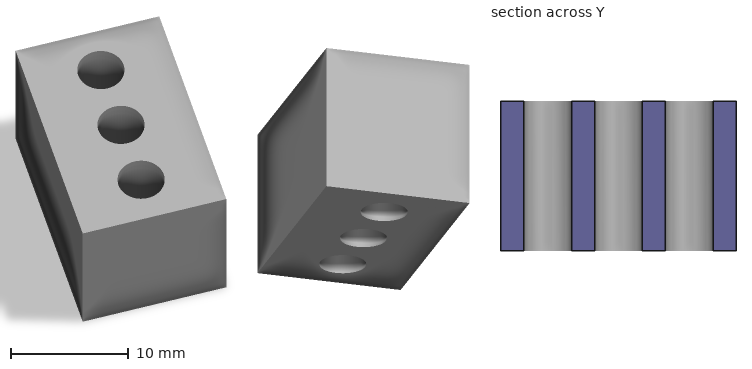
import cadquery as cq

length = 20.0
width = 12.7
height = 12.7

hole_diameter = 4.0
hole_count = 3
hole_pitch = 6.0


def make_block():
    return cq.Workplane("XY").box(length, width, height)


def drill_hole_row(body):
    """Drill evenly spaced vertical holes through the full height."""
    return (
        body.faces(">Z")
        .workplane()
        .rarray(hole_pitch, width, hole_count, 1)
        .hole(hole_diameter)
    )


result = drill_hole_row(make_block())